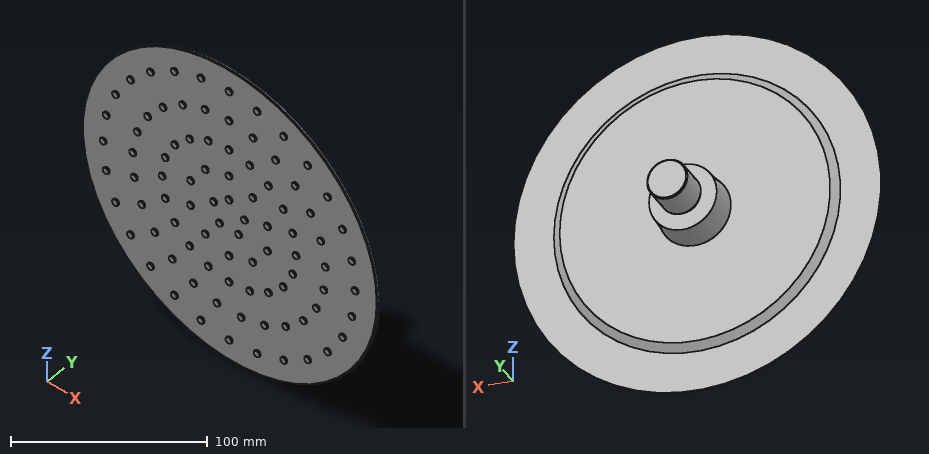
import cadquery as cq


plate_radius = 100.0
face_chamfer = 0.5
rim_height = 2.0
raised_base_radius = 78.0
back_radius = 73.5
back_height = 5.2

boss_base_radius = 19.5
boss_middle_radius = 18.8
boss_top_radius = 18.5
boss_top_height = 22.5

neck_radius = 9.2
stem_radius = 11.0
stem_start_height = 24.8
stem_chamfer = 0.5

nozzle_radius = 2.0
nozzle_height = 1.0
nozzle_rings = [(11.0, 5), (27.5, 10), (45.5, 20), (65.5, 25), (85.5, 28)]
first_nozzle_angle = 90.0

total_depth = 46.0
stem_top_height = total_depth - nozzle_height
boss_middle_height = (back_height + boss_top_height) / 2


def make_body():
    """Plate, boss and stem turned from one half section (radius, height)."""
    section = (
        cq.Workplane("XY")
        .moveTo(0, 0)
        .lineTo(plate_radius - face_chamfer, 0)
        .lineTo(plate_radius, face_chamfer)
        .lineTo(plate_radius, rim_height)
        .lineTo(raised_base_radius, rim_height)
        .lineTo(back_radius, back_height)
        .lineTo(boss_base_radius, back_height)
        .threePointArc((boss_middle_radius, boss_middle_height), (boss_top_radius, boss_top_height))
        .lineTo(neck_radius, boss_top_height)
        .lineTo(neck_radius, stem_start_height)
        .lineTo(stem_radius - stem_chamfer, stem_start_height)
        .lineTo(stem_radius, stem_start_height + stem_chamfer)
        .lineTo(stem_radius, stem_top_height - stem_chamfer)
        .lineTo(stem_radius - stem_chamfer, stem_top_height)
        .lineTo(0, stem_top_height)
        .close()
    )
    return section.revolve(360, (0, 0, 0), (0, 1, 0))


def add_nozzle_ring(body, ring_radius, count):
    """Add evenly spaced round nozzles standing out of the spray face."""
    nozzles = (
        cq.Workplane("XZ")
        .polarArray(ring_radius, first_nozzle_angle, 360, count)
        .circle(nozzle_radius)
        .extrude(nozzle_height)
    )
    return body.union(nozzles)


result = make_body()
for ring_radius, count in nozzle_rings:
    result = add_nozzle_ring(result, ring_radius, count)